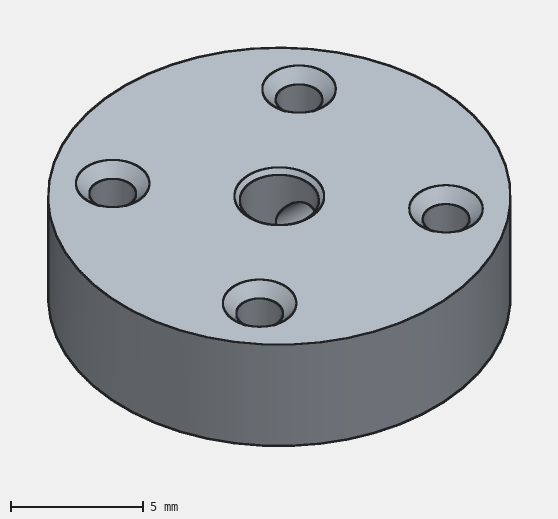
import cadquery as cq

disc_diameter = 17.5
disc_height = 5.0

countersink_angle = 90.0

bore_diameter = 3.0
bore_chamfer_diameter = 3.4

mount_hole_spacing = 8.98
mount_hole_diameter = 1.77
countersink_diameter = 2.78

set_screw_diameter = 2.5
set_screw_chamfer = 0.4


def make_disc():
    return cq.Workplane("XY").circle(disc_diameter / 2).extrude(disc_height)


def cut_bore(body):
    return body.faces(">Z").workplane(origin=(0, 0, 0)).cskHole(
        bore_diameter, bore_chamfer_diameter, countersink_angle
    )


def cut_mount_holes(body):
    return (
        body.faces(">Z")
        .workplane(origin=(0, 0, 0))
        .rect(mount_hole_spacing, mount_hole_spacing, forConstruction=True)
        .vertices()
        .cskHole(mount_hole_diameter, countersink_diameter, countersink_angle)
    )


def cut_set_screw_hole(body):
    screw_hole = (
        cq.Workplane("XZ")
        .center(0, disc_height / 2)
        .circle(set_screw_diameter / 2)
        .extrude(-disc_diameter)
    )
    return body.cut(screw_hole).edges(">Y").chamfer(set_screw_chamfer)


result = make_disc()
result = cut_bore(result)
result = cut_mount_holes(result)
result = cut_set_screw_hole(result)